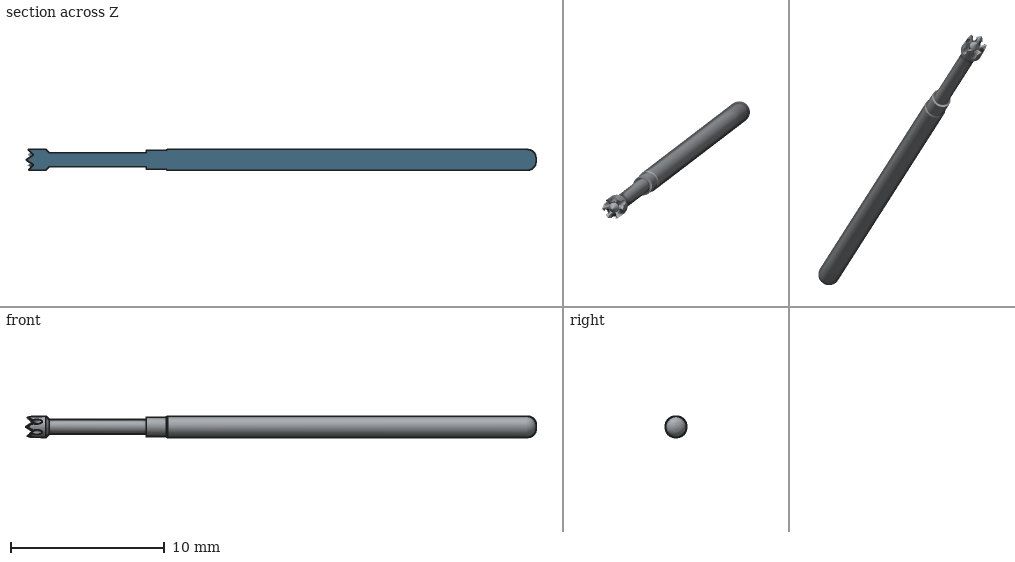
import cadquery as cq
import math


overall_length = 33.27
barrel_radius = 0.7
barrel_start = 9.25
barrel_lead_in = 0.1
tail_radius = 0.6
collar_radius = 0.635
collar_start = 7.85
shaft_radius = 0.48
head_radius = barrel_radius
head_shoulder = 1.32
head_end = 1.54

tooth_count = 6
rim_start = 0.12
valley_depth = 0.5
valley_radius = 0.33
notch_depth = 0.65
flute_radius = 0.17
flute_end = 1.08
flute_slope = 32
root_reach = 1.15


def probe_body():
    """Revolve the whole probe around the X axis."""
    arc_45 = tail_radius * math.sqrt(0.5)
    tail_start = overall_length - tail_radius
    tail_flat_radius = barrel_radius - tail_radius
    profile = (
        cq.Workplane("XZ")
        .moveTo(0, 0)
        .lineTo(valley_depth, valley_radius)
        .lineTo(rim_start, head_radius)
        .lineTo(head_shoulder, head_radius)
        .lineTo(head_end, shaft_radius)
        .lineTo(collar_start, shaft_radius)
        .lineTo(collar_start, collar_radius)
        .lineTo(barrel_start - barrel_lead_in, collar_radius)
        .lineTo(barrel_start, barrel_radius)
        .lineTo(tail_start, barrel_radius)
        .threePointArc(
            (tail_start + arc_45, tail_flat_radius + arc_45),
            (overall_length, tail_flat_radius),
        )
        .lineTo(overall_length, 0)
        .close()
    )
    return profile.revolve(360, (0, 0, 0), (1, 0, 0))


def tooth_notch():
    """V notch on the +Z side, one tooth pitch wide at the tooth points."""
    half_pitch = head_radius * math.sin(math.pi / tooth_count)
    half_mouth = half_pitch * notch_depth / (notch_depth - rim_start)
    return (
        cq.Workplane("XY")
        .workplane(offset=valley_radius)
        .moveTo(0, -half_mouth)
        .lineTo(notch_depth, 0)
        .lineTo(0, half_mouth)
        .close()
        .extrude(head_radius)
    )


def sloped_flute():
    """Round flute on the +Z side, its root rising backward out of the head surface."""
    slope = math.radians(flute_slope)
    root_direction = cq.Vector(math.cos(slope), 0, math.sin(slope))
    root_normal = cq.Vector(-math.sin(slope), 0, math.cos(slope))
    flute_length = 2 * root_reach
    root_exit = cq.Vector(flute_end, 0, head_radius)
    start = root_exit + root_normal * flute_radius - root_direction * root_reach
    return cq.Workplane(cq.Solid.makeCylinder(flute_radius, flute_length, start, root_direction))


result = probe_body()
for index in range(tooth_count):
    tooth_angle = index * 360 / tooth_count
    for cutter in (sloped_flute(), tooth_notch()):
        result = result.cut(cutter.rotate((0, 0, 0), (1, 0, 0), tooth_angle))